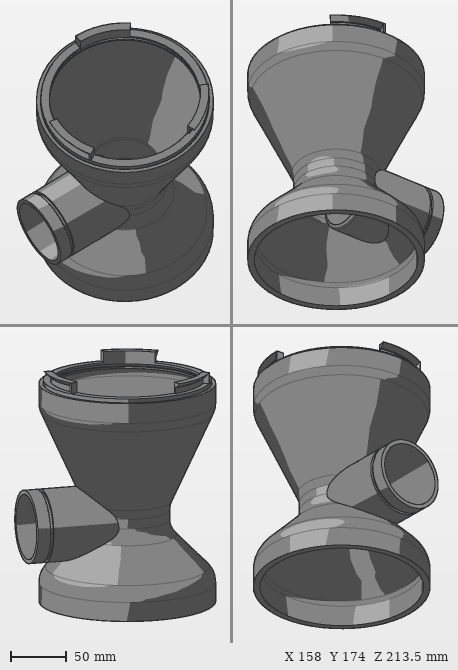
import cadquery as cq
import math

body_radius = 79.0
neck_radius = 38.0
rim_z = 200.0
base_corner_z = 25.8
neck_low_z = 67.0
neck_high_z = 88.4
rim_corner_z = 177.6
outer_fillet = 20.0

bore_radius = 32.0
bore_low_z = 63.0
bore_high_z = 95.0
base_wall = 6.0
base_bore_radius = body_radius - base_wall
base_bore_corner_z = bore_low_z - (base_bore_radius - bore_radius)
inner_fillet = 6.0

mouth_radius = 135.0 / 2
seat_radius = 151.0 / 2
seat_depth = 1.0
lip_thickness = 1.7
seat_z = rim_z - seat_depth
ceiling_z = seat_z - lip_thickness
ceiling_corner_radius = 78.5

pipe_radius = 66.0 / 2
pipe_bore_radius = 58.5 / 2
pipe_z = 75.2
pipe_outer_end = 95.0
pipe_inner_end = 9.8
pipe_end_fillet = 3.2
groove_radius = 62.0 / 2
groove_width = 3.0
groove_offset = 12.0

ring_radius = 150.0 / 2
ring_top_z = 203.5
ring_land = 2.0
lug_top_z = 213.5
lug_starts = (20, 140, 260)
lug_sweep = 40
lug_wall = 2.0
hook_height = 4.3
stop_thickness = 2.0


def corner_arc(before, corner, after, radius):
    """Start, middle and end of the arc that rounds a profile corner."""
    tip = cq.Vector(*corner)
    back = (cq.Vector(*before) - tip).normalized()
    ahead = (cq.Vector(*after) - tip).normalized()
    half_angle = back.getAngle(ahead) / 2
    tangent = radius / math.tan(half_angle)
    middle = tip + (back + ahead).normalized() * (radius / math.sin(half_angle) - radius)
    return [(p.x, p.y) for p in (tip + back * tangent, middle, tip + ahead * tangent)]


def revolve_sharp(points):
    """Solid turned about Z from a closed (radius, z) outline."""
    return cq.Workplane("XZ").polyline(points).close().revolve(360, (0, 0), (0, 1))


def revolve_rounded(points, radius):
    """Solid turned about Z from (radius, z) points, rounding all but the first and last."""
    outline = cq.Workplane("XZ").moveTo(0, points[0][1]).lineTo(*points[0])
    for before, corner, after in zip(points, points[1:], points[2:]):
        start, middle, end = corner_arc(before, corner, after, radius)
        outline = outline.lineTo(*start).threePointArc(middle, end)
    outline = outline.lineTo(*points[-1]).lineTo(0, points[-1][1]).close()
    return outline.revolve(360, (0, 0), (0, 1))


def disc(radius, low_z, high_z):
    return cq.Workplane("XY", origin=(0, 0, low_z)).circle(radius).extrude(high_z - low_z)


def pipe_rod(radius, near, far):
    """Rod on the pipe axis between two distances from the main axis."""
    return cq.Workplane("XZ", origin=(0, -near, pipe_z)).circle(radius).extrude(far - near)


def make_shell():
    outside = revolve_rounded([
        (body_radius, 0),
        (body_radius, base_corner_z),
        (neck_radius, neck_low_z),
        (neck_radius, neck_high_z),
        (body_radius, rim_corner_z),
        (body_radius, rim_z),
    ], outer_fillet)
    inside = revolve_rounded([
        (base_bore_radius, 0),
        (base_bore_radius, base_bore_corner_z),
        (bore_radius, bore_low_z),
        (bore_radius, bore_high_z),
        (ceiling_corner_radius, ceiling_z),
        (mouth_radius, ceiling_z),
    ], inner_fillet)
    mouth = disc(mouth_radius, ceiling_z, rim_z)
    seat = disc(seat_radius, seat_z, rim_z)
    return outside.cut(inside).cut(mouth).cut(seat)


def make_housing():
    """Shell with the side pipe run through its wall, ending inside with a rounded edge."""
    pipe = pipe_rod(pipe_radius, pipe_inner_end, pipe_outer_end)
    pipe = pipe.faces(">Y").edges().fillet(pipe_end_fillet)
    pipe_bore = pipe_rod(pipe_bore_radius, 0, pipe_outer_end)
    groove_far = pipe_outer_end - groove_offset
    groove_near = groove_far - groove_width
    groove = pipe_rod(pipe_radius, groove_near, groove_far).cut(pipe_rod(groove_radius, groove_near, groove_far))
    return make_shell().union(pipe.cut(groove)).cut(pipe_bore)


def wedge(start, sweep):
    """Wedge from the main axis, as tall as the lugs and reaching past the ring."""
    reach = 2 * ring_radius
    ends = [math.radians(start), math.radians(start + sweep)]
    points = [(0, 0)] + [(reach * math.cos(a), reach * math.sin(a)) for a in ends]
    return cq.Workplane("XY", origin=(0, 0, ring_top_z)).polyline(points).close().extrude(lug_top_z - ring_top_z)


def make_lug(start):
    """Hooked wall with a full-depth stop at its anticlockwise end."""
    wall_radius = mouth_radius + lug_wall
    hook_z = lug_top_z - hook_height
    hook = revolve_sharp([
        (mouth_radius, ring_top_z),
        (wall_radius, ring_top_z),
        (wall_radius, hook_z),
        (ring_radius - hook_height, hook_z),
        (ring_radius, lug_top_z),
        (mouth_radius, lug_top_z),
    ])
    stop = disc(ring_radius, ring_top_z, lug_top_z).cut(disc(mouth_radius, ring_top_z, lug_top_z))
    stop_sweep = math.degrees(stop_thickness / ring_radius)
    stop_start = start + lug_sweep - stop_sweep
    return hook.intersect(wedge(start, lug_sweep)).union(stop.intersect(wedge(stop_start, stop_sweep)))


def make_lug_ring():
    flare = ring_top_z - ring_land - seat_z
    ring = revolve_sharp([
        (mouth_radius, ring_top_z),
        (ring_radius, ring_top_z),
        (ring_radius, seat_z),
        (mouth_radius + flare, seat_z),
        (mouth_radius, seat_z + flare),
    ])
    for start in lug_starts:
        ring = ring.union(make_lug(start))
    return ring


housing = make_housing()
lug_ring = make_lug_ring()
result = cq.Compound.makeCompound([housing.val(), lug_ring.val()])